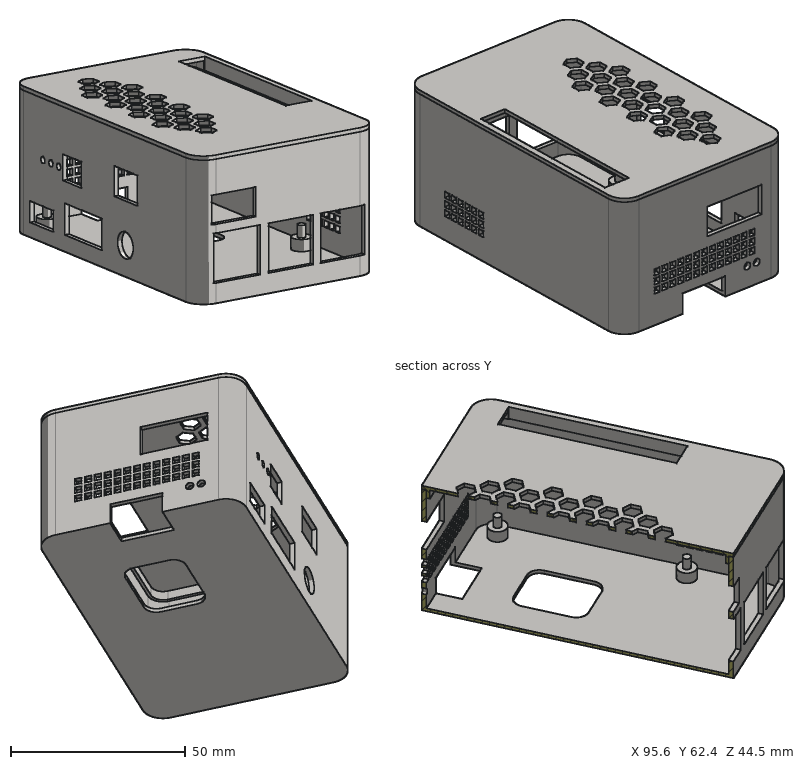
import cadquery as cq
import math

LENGTH = 95.6
WIDTH = 62.4
HEIGHT = 44.5
CORNER_RADIUS = 6.2
WALL = 1.5
PLATE_THICKNESS = 1.2
SHELL_HEIGHT = HEIGHT - PLATE_THICKNESS

LIP_DEPTH = 3.0
LIP_THICKNESS = 1.0
LIP_BOTTOM = SHELL_HEIGHT - LIP_DEPTH

POST_SPAN_X = 58.0
POST_SPAN_Y = 49.05
POST_CENTER_X = -10.4
POST_DIAMETER = 6.0
POST_TOP = 4.9
PIN_DIAMETER = 2.5
PIN_TOP = 8.6

POWER_WINDOW = ((-38.2, -26.4), (4.5, 10.9))
VIDEO_WINDOW = ((-20.5, -1.4), (5.1, 14.5))
SMALL_UPPER_WINDOW = ((-21.4, -11.95), (21.1, 29.0))
LARGE_UPPER_WINDOW = ((4.9, 16.8), (22.8, 31.8))
FRONT_WINDOWS = (POWER_WINDOW, VIDEO_WINDOW, SMALL_UPPER_WINDOW, LARGE_UPPER_WINDOW)
LIGHT_DIAMETER = 2.0
LIGHT_XS = (-31.6, -27.5, -23.5)
LIGHT_Z = 24.8
AUDIO_DIAMETER = 8.0
AUDIO_X = 10.7
AUDIO_Z = 9.5

LEFT_WINDOW = ((-21.6, -1.05), (22.1, 31.7))
CARD_NOTCH_Y = (-7.8, 8.2)
CARD_NOTCH_TOP = 6.7
CARD_NOTCH_FLOOR_DEPTH = 9.6
STATUS_DIAMETER = 2.3
STATUS_YS = (-16.2, -19.7)
STATUS_Z = 7.1

PORT_HEIGHTS = (6.1, 21.0)
NETWORK_PORT = ((-25.6, -9.6), PORT_HEIGHTS)
FIRST_USB_PORT = ((-6.6, 8.9), PORT_HEIGHTS)
SECOND_USB_PORT = ((11.5, 27.0), PORT_HEIGHTS)
RIGHT_UPPER_WINDOW = ((-26.3, -11.0), (23.7, 32.6))
RIGHT_WINDOWS = (NETWORK_PORT, FIRST_USB_PORT, SECOND_USB_PORT, RIGHT_UPPER_WINDOW)

VENT_SIZE = 2.0
VENT_ROWS = 3
LEFT_VENT_COLUMNS = 13
LEFT_VENT_SPAN = 35.95
VENT_PITCH = LEFT_VENT_SPAN / (LEFT_VENT_COLUMNS - 1)
LEFT_VENT_FIRST_Y = -LEFT_VENT_SPAN / 2
LEFT_VENT_MIDDLE_Z = 14.3
LEFT_VENT_FIRST_Z = LEFT_VENT_MIDDLE_Z - VENT_PITCH * (VENT_ROWS - 1) / 2
BACK_VENT_COLUMNS = 6
BACK_VENT_FIRST_X = 14.6
BACK_VENT_FIRST_Z = 8.9

FLOOR_OPENING_X = (-24.9, -1.9)
FLOOR_OPENING_Y = (-5.2, 13.4)
FLOOR_OPENING_RADIUS = 3.8

SLOT_X = (-37.7, 17.1)
SLOT_Y = (20.1, 29.1)
HEX_DIAMETER = 6.0
HEX_SPACING = 7.0
HEX_COLUMN_PITCH = HEX_SPACING * math.sqrt(3) / 2
HEX_CENTER_X = -4.9
HEX_CENTER_Y = -13.0
HEX_COLUMN_COUNTS = (1, 2, 3, 2, 3, 2, 3, 2, 3, 2, 1)

CLEARANCE = 1.0
FRONT_WALL = (-WIDTH / 2 - CLEARANCE, -WIDTH / 2 + WALL)
BACK_WALL = (WIDTH / 2 - WALL, WIDTH / 2 + CLEARANCE)
LEFT_WALL = (-LENGTH / 2 - CLEARANCE, -LENGTH / 2 + WALL)
RIGHT_WALL_AND_CORNERS = (LENGTH / 2 - CORNER_RADIUS, LENGTH / 2 + CLEARANCE)
FLOOR = (-CLEARANCE, PLATE_THICKNESS)


def block(x_range, y_range, z_range):
    """Axis-aligned box between the given limits."""
    x_size, y_size, z_size = (high - low for low, high in (x_range, y_range, z_range))
    corner = (x_range[0], y_range[0], z_range[0])
    return cq.Workplane("XY").box(x_size, y_size, z_size, centered=False).translate(corner)


def rounded_block(inset, z_min, z_max):
    """Box with the outer outline moved inwards by inset."""
    return (
        cq.Workplane("XY", origin=(0, 0, z_min))
        .rect(LENGTH - 2 * inset, WIDTH - 2 * inset)
        .extrude(z_max - z_min)
        .edges("|Z")
        .fillet(CORNER_RADIUS - inset)
    )


def standoff_cylinders(diameter, top):
    """Four cylinders from the underside of the floor, one at each board mounting point."""
    return (
        cq.Workplane("XY", origin=(POST_CENTER_X, 0, 0))
        .rect(POST_SPAN_X, POST_SPAN_Y, forConstruction=True)
        .vertices()
        .circle(diameter / 2)
        .extrude(top)
    )


def front_hole(x, z, diameter):
    """Cutter for a round hole through the front wall."""
    depth = FRONT_WALL[1] - FRONT_WALL[0]
    return cq.Workplane("XZ", origin=(x, FRONT_WALL[1], z)).circle(diameter / 2).extrude(depth)


def left_hole(y, z, diameter):
    """Cutter for a round hole through the left wall."""
    depth = LEFT_WALL[1] - LEFT_WALL[0]
    return cq.Workplane("YZ", origin=(LEFT_WALL[0], y, z)).circle(diameter / 2).extrude(depth)


def vent_ranges(first_across, first_z, columns):
    """Horizontal and vertical limits of every square in a vent grid, from its first center."""
    half = VENT_SIZE / 2
    ranges = []
    for column in range(columns):
        across = first_across + column * VENT_PITCH
        for row in range(VENT_ROWS):
            z = first_z + row * VENT_PITCH
            ranges.append(((across - half, across + half), (z - half, z + half)))
    return ranges


def cut_front_wall(shell):
    for x_range, z_range in FRONT_WINDOWS:
        shell = shell.cut(block(x_range, FRONT_WALL, z_range))
    for x in LIGHT_XS:
        shell = shell.cut(front_hole(x, LIGHT_Z, LIGHT_DIAMETER))
    return shell.cut(front_hole(AUDIO_X, AUDIO_Z, AUDIO_DIAMETER))


def cut_left_wall(shell):
    for y_range, z_range in (LEFT_WINDOW, (CARD_NOTCH_Y, (-CLEARANCE, CARD_NOTCH_TOP))):
        shell = shell.cut(block(LEFT_WALL, y_range, z_range))
    for y in STATUS_YS:
        shell = shell.cut(left_hole(y, STATUS_Z, STATUS_DIAMETER))
    for y_range, z_range in vent_ranges(LEFT_VENT_FIRST_Y, LEFT_VENT_FIRST_Z, LEFT_VENT_COLUMNS):
        shell = shell.cut(block(LEFT_WALL, y_range, z_range))
    return shell


def cut_right_wall(shell):
    for y_range, z_range in RIGHT_WINDOWS:
        shell = shell.cut(block(RIGHT_WALL_AND_CORNERS, y_range, z_range))
    return shell


def cut_back_wall(shell):
    for x_range, z_range in vent_ranges(BACK_VENT_FIRST_X, BACK_VENT_FIRST_Z, BACK_VENT_COLUMNS):
        shell = shell.cut(block(x_range, BACK_WALL, z_range))
    return shell


def cut_floor(shell):
    card_x = (LEFT_WALL[0], -LENGTH / 2 + CARD_NOTCH_FLOOR_DEPTH)
    card_cut = block(card_x, CARD_NOTCH_Y, FLOOR)
    opening = block(FLOOR_OPENING_X, FLOOR_OPENING_Y, FLOOR).edges("|Z").fillet(FLOOR_OPENING_RADIUS)
    return shell.cut(card_cut).cut(opening)


def build_shell():
    """Open-topped housing with standoffs and wall openings."""
    shell = rounded_block(0, 0, SHELL_HEIGHT)
    shell = shell.cut(rounded_block(WALL, PLATE_THICKNESS, SHELL_HEIGHT))
    shell = shell.union(standoff_cylinders(POST_DIAMETER, POST_TOP))
    shell = shell.union(standoff_cylinders(PIN_DIAMETER, PIN_TOP))
    shell = cut_front_wall(shell)
    shell = cut_left_wall(shell)
    shell = cut_right_wall(shell)
    shell = cut_back_wall(shell)
    return cut_floor(shell)


def honeycomb():
    """Cutter for the hexagonal vents, in columns centered on the honeycomb's middle."""
    centers = []
    middle_column = (len(HEX_COLUMN_COUNTS) - 1) / 2
    for column, count in enumerate(HEX_COLUMN_COUNTS):
        x = HEX_CENTER_X + (column - middle_column) * HEX_COLUMN_PITCH
        for row in range(count):
            y = HEX_CENTER_Y + (row - (count - 1) / 2) * HEX_SPACING
            centers.append((x, y))
    return (
        cq.Workplane("XY", origin=(0, 0, SHELL_HEIGHT))
        .pushPoints(centers)
        .polygon(6, HEX_DIAMETER)
        .extrude(PLATE_THICKNESS)
    )


def build_lid():
    """Cover plate with a lip inside the shell walls, a slot and hexagonal vents."""
    plate = rounded_block(0, SHELL_HEIGHT, HEIGHT)
    lip_outside = rounded_block(WALL, LIP_BOTTOM, SHELL_HEIGHT)
    lip_inside = rounded_block(WALL + LIP_THICKNESS, LIP_BOTTOM, SHELL_HEIGHT)
    lid = plate.union(lip_outside.cut(lip_inside))
    slot = block(SLOT_X, SLOT_Y, (LIP_BOTTOM, HEIGHT))
    return lid.cut(slot).cut(honeycomb())


shell = build_shell()
lid = build_lid()
result = cq.Compound.makeCompound([shell.val(), lid.val()])